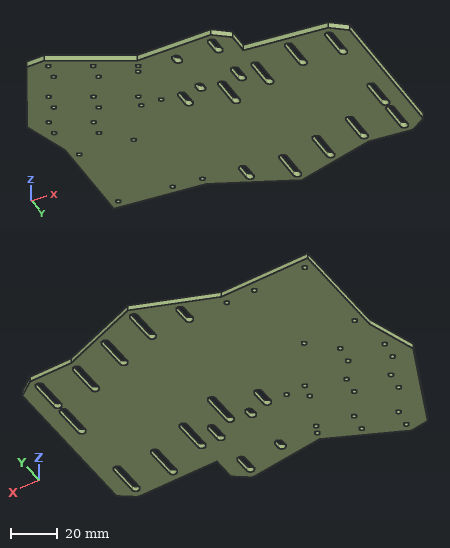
import cadquery as cq
import math

LENGTH = 155.5
WIDTH = 128.0
THICKNESS = 3.0
RIGHT = LENGTH / 2
LEFT = -LENGTH / 2
BACK = WIDTH / 2
FRONT = -WIDTH / 2

HOLE_DIAMETER = 2.2

SLOT_WIDTH = 3.5
LONG_SLOT = 17.7
MEDIUM_SLOT = 10.5
SHORT_SLOT = 5.8
SLOT_PITCH = 19.0
PEAK_X = 11.4
ROW_SPACING = 61.0
EXTRA_SLOT_DROP = 18.8
SMALL_ROW_SPACING = 23.2

BACK_LEFT_EDGE_X = -70.5
BACK_LEFT_EDGE_Y = 49.3
BACK_RIGHT_EDGE_Y = 50.0
STEP_X = PEAK_X + SLOT_PITCH
STEP_Y = -34.8
CORNER_CUT_X = 7.6
CORNER_CUT_Y = 5.6
PEAK_SLOPE_START_X = -26.6
TAB_FRONT_Y = -51.3
NOTCH = (-14.0, -47.1)
LOBE_FRONT_X = -49.8
LOBE_LEFT_CORNER = (-58.6, -62.8)
LOBE_TIP_Y = -22.0
LOBE_TOP_Y = 0.8

OUTLINE = [
    (BACK_LEFT_EDGE_X, BACK_LEFT_EDGE_Y),
    (PEAK_SLOPE_START_X, BACK_LEFT_EDGE_Y),
    (PEAK_X, BACK),
    (PEAK_X + 2 * SLOT_PITCH, BACK_RIGHT_EDGE_Y),
    (RIGHT - CORNER_CUT_X, BACK_RIGHT_EDGE_Y),
    (RIGHT, BACK_RIGHT_EDGE_Y - CORNER_CUT_Y),
    (RIGHT, STEP_Y + CORNER_CUT_Y),
    (RIGHT - CORNER_CUT_X, STEP_Y),
    (STEP_X, STEP_Y),
    (STEP_X, TAB_FRONT_Y + CORNER_CUT_Y),
    (STEP_X - CORNER_CUT_X, TAB_FRONT_Y),
    NOTCH,
    (LOBE_FRONT_X, FRONT),
    LOBE_LEFT_CORNER,
    (LEFT, LOBE_TIP_Y),
    (BACK_LEFT_EDGE_X, LOBE_TOP_Y),
]

MAIN_SLOTS = [
    (-1, 48.7, MEDIUM_SLOT),
    (0, 52.1, LONG_SLOT),
    (1, 45.1, LONG_SLOT),
    (2, 38.3, LONG_SLOT),
    (3, 38.3, LONG_SLOT),
]
LAST_COLUMN, LAST_COLUMN_Y, LAST_LENGTH = MAIN_SLOTS[-1]

SMALL_SLOTS = [
    (-0.5, -17.5, SHORT_SLOT),
    (0.5, -19.8, MEDIUM_SLOT),
]

HOLE_COLUMN_1 = -66.3
HOLE_COLUMN_2 = -40.6
HOLE_COLUMN_3 = -26.6
HOLE_COLUMN_4 = -17.1
BACK_HOLE_Y = 45.0
MIDDLE_HOLE_Y = 6.0
COLUMN_4_HOLE_Y = -16.3
SQUARE_HOLES = [
    (HOLE_COLUMN_1, BACK_HOLE_Y),
    (HOLE_COLUMN_2, BACK_HOLE_Y),
    (HOLE_COLUMN_3, BACK_HOLE_Y),
    (HOLE_COLUMN_1, MIDDLE_HOLE_Y),
    (HOLE_COLUMN_2, MIDDLE_HOLE_Y),
    (HOLE_COLUMN_3, BACK_HOLE_Y - ROW_SPACING),
    (HOLE_COLUMN_4, COLUMN_4_HOLE_Y),
    (HOLE_COLUMN_4, COLUMN_4_HOLE_Y - SMALL_ROW_SPACING),
]

GRID_ANGLE = math.radians(25)
GRID_ORIGIN = (-51.8, -5.0)
GRID_PITCH = 19.1
GRID_LAST_ROW = 42.1
PAIR_OFFSET = (1.4, -8.2)


def grid_point(along, down):
    """Point at the given distances along a grid row and down across the rows."""
    x = GRID_ORIGIN[0] + along * math.cos(GRID_ANGLE) + down * math.sin(GRID_ANGLE)
    y = GRID_ORIGIN[1] + along * math.sin(GRID_ANGLE) - down * math.cos(GRID_ANGLE)
    return (x, y)


def partner(point):
    """Second hole of the pair that starts at a grid hole."""
    return (point[0] + PAIR_OFFSET[0], point[1] + PAIR_OFFSET[1])


def tilted_holes():
    """Two columns of hole pairs, plus lone partner holes right of the lower rows."""
    points = []
    for down in (0, GRID_PITCH, GRID_LAST_ROW):
        for along in (0, -GRID_PITCH):
            point = grid_point(along, down)
            points += [point, partner(point)]
    for down in (GRID_PITCH, GRID_LAST_ROW):
        points.append(partner(grid_point(GRID_PITCH, down)))
    return points


def all_slots():
    """Every slot as (x, y, length)."""
    slots = []
    for step, y, length in MAIN_SLOTS:
        x = PEAK_X + step * SLOT_PITCH
        slots += [(x, y, length), (x, y - ROW_SPACING, length)]
    for step, y, length in SMALL_SLOTS:
        x = PEAK_X + step * SLOT_PITCH
        slots += [(x, y, length), (x, y - SMALL_ROW_SPACING, length)]
    last_x = PEAK_X + LAST_COLUMN * SLOT_PITCH
    slots.append((last_x, LAST_COLUMN_Y - EXTRA_SLOT_DROP, LAST_LENGTH))
    return slots


plate = cq.Workplane("XY").polyline(OUTLINE).close().extrude(THICKNESS)

hole_cutter = (
    cq.Workplane("XY")
    .pushPoints(SQUARE_HOLES + tilted_holes())
    .circle(HOLE_DIAMETER / 2)
    .extrude(THICKNESS)
)
result = plate.cut(hole_cutter)

for slot_x, slot_y, slot_length in all_slots():
    slot_cutter = (
        cq.Workplane("XY")
        .center(slot_x, slot_y)
        .slot2D(slot_length, SLOT_WIDTH, 90)
        .extrude(THICKNESS)
    )
    result = result.cut(slot_cutter)